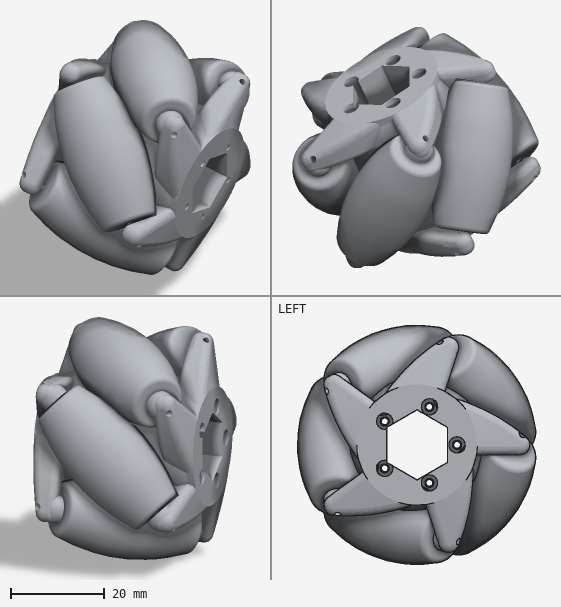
import cadquery as cq
import math

WHEEL_RADIUS = 25.5
HALF_WIDTH = 17.95
ROLLER_COUNT = 5
PITCH = 360.0 / ROLLER_COUNT

ROLLER_TILT = 45.0
AXIS_RADIUS = 16.85
ROLLER_HALF_LENGTH = 15.8
ROLLER_END_FILLET = 1.0
PROFILE_POINTS = 9
WIDEST_TURN = 42.0
PIN_HOLE_RADIUS = 0.7

CLEARANCE = 0.4
END_CLEARANCE = 0.4

FACE_RADIUS = 12.85
RIDGE_RADIUS = 14.3
RIDGE_HALF_WIDTH = 12.25
RIM_HALF_WIDTH = 16.35
HEX_ACROSS_FLATS = 12.9

ARM_ROOT = 6.15
ARM_LOW_SIDE = -2.15
ARM_TIP_RADIUS = 2.2
ARM_TIP_DISTANCE = 21.85
ARM_HIGH_TIP_ANGLE = 50.0
ARM_HIGH_BASE = (7.9, 9.95)
ARM_INNER_X = 11.15
ARM_FACE_SLOPE = 14.0
ARM_OUTER_FILLET = 1.8
ARM_INNER_FILLET = 1.55

BOSS_RADIUS = 3.05
BOSS_LENGTH = 3.3
BOSS_FILLET = 0.75 * BOSS_RADIUS

SCREW_CIRCLE_RADIUS = 8.5
SCREW_HEAD_RADIUS = 1.75
SCREW_CLEARANCE_RADIUS = 0.95
SCREW_THREAD_RADIUS = 0.7
SCREW_HEAD_DEPTH = 14.3


def barrel_point(turn, gap):
    """Axial position and radius of the barrel where it meets the wheel cylinder at an angle."""
    lean = math.sin(math.radians(ROLLER_TILT))
    reach = WHEEL_RADIUS - AXIS_RADIUS / math.cos(turn)
    along = AXIS_RADIUS * math.tan(turn) / lean + reach * math.sin(turn) * lean
    return along, reach * math.sqrt(1 - (math.sin(turn) * lean) ** 2) + gap


def barrel(gap, half_length):
    """Solid barrel about the Z axis, grown by a gap and cut off square at both ends."""
    widest_turn = math.radians(WIDEST_TURN)
    points = []
    for i in range(PROFILE_POINTS):
        along, radius = barrel_point(widest_turn * (2 * i / (PROFILE_POINTS - 1) - 1), gap)
        points.append((radius, along))
    low, high = points[0][1], points[-1][1]
    body = (
        cq.Workplane("XZ").moveTo(0, low).lineTo(*points[0]).spline(points[1:], includeCurrent=True)
        .lineTo(0, high).close().revolve(360, (0, 0), (0, 1))
    )
    return body.intersect(cq.Workplane("XY").circle(WHEEL_RADIUS).extrude(half_length, both=True))


def turned(shape, pitches):
    """Turn a shape about the wheel axis by a number of roller pitches."""
    return shape.rotate((0, 0, 0), (1, 0, 0), pitches * PITCH)


def on_roller_axis(shape, index):
    """Move a shape from the Z axis to a roller axis; its +Z end goes to the -X side."""
    tilted = shape.rotate((0, 0, 0), (0, 1, 0), -ROLLER_TILT).translate((0, -AXIS_RADIUS, 0))
    return turned(tilted, index + 0.5)


def pin_hole():
    return cq.Workplane("XY").circle(PIN_HOLE_RADIUS).extrude(WHEEL_RADIUS, both=True)


def roller():
    body = barrel(0, ROLLER_HALF_LENGTH).faces("<Z or >Z").edges().fillet(ROLLER_END_FILLET)
    return body.cut(pin_hole())


def core():
    """The -X half of the round core, widest between the rollers."""
    outline = [
        (-HALF_WIDTH, 0), (-HALF_WIDTH, FACE_RADIUS), (-RIM_HALF_WIDTH, FACE_RADIUS),
        (-RIDGE_HALF_WIDTH, RIDGE_RADIUS), (0, RIDGE_RADIUS), (0, 0),
    ]
    return cq.Workplane("XY").polyline(outline).close().revolve(360, (0, 0), (1, 0))


def arm_blade():
    """Flat arm on the -X side, pointing toward -Y, before its outer face is sloped."""
    tip_height = ARM_LOW_SIDE + ARM_TIP_RADIUS
    angle = math.radians(ARM_HIGH_TIP_ANGLE)
    high_tip = (
        ARM_TIP_DISTANCE + ARM_TIP_RADIUS * math.cos(angle),
        tip_height + ARM_TIP_RADIUS * math.sin(angle),
    )
    plane = cq.Plane(origin=(-ARM_INNER_X, 0, 0), xDir=(0, -1, 0), normal=(-1, 0, 0))
    return (
        cq.Workplane(plane).moveTo(ARM_ROOT, ARM_LOW_SIDE).lineTo(ARM_TIP_DISTANCE, ARM_LOW_SIDE)
        .tangentArcPoint(high_tip, relative=False)
        .tangentArcPoint(ARM_HIGH_BASE, relative=False).close()
        .extrude(HALF_WIDTH)
    )


def rim_edges(face):
    """Edges of an arm face whose middle lies outside the core's end face."""
    edges = []
    for edge in face.edges().vals():
        middle = edge.positionAt(0.5)
        if math.hypot(middle.y, middle.z) > FACE_RADIUS + 0.5:
            edges.append(edge)
    return edges


def arm():
    """Arm with a conical outer face and rounded edges."""
    slope = math.tan(math.radians(ARM_FACE_SLOPE))
    rim_x = HALF_WIDTH - slope * (WHEEL_RADIUS - FACE_RADIUS)
    outline = [
        (0, 0), (-HALF_WIDTH, 0), (-HALF_WIDTH, FACE_RADIUS), (-rim_x, WHEEL_RADIUS), (0, WHEEL_RADIUS),
    ]
    envelope = cq.Workplane("XY").polyline(outline).close().revolve(360, (0, 0), (1, 0))
    blade = arm_blade().intersect(envelope)
    blade = blade.newObject(rim_edges(blade.faces("%CONE"))).fillet(ARM_OUTER_FILLET)
    return blade.newObject(rim_edges(blade.faces(">X"))).fillet(ARM_INNER_FILLET)


def boss():
    """Domed boss just past the +Z end of a roller on the Z axis."""
    start = ROLLER_HALF_LENGTH + END_CLEARANCE
    return (
        cq.Workplane("XY").workplane(offset=start).circle(BOSS_RADIUS).extrude(BOSS_LENGTH)
        .faces(">Z").edges().fillet(BOSS_FILLET)
    )


def hub_half():
    """The -X half of the hub, without its screw holes."""
    body = core()
    for i in range(ROLLER_COUNT):
        body = body.union(turned(arm(), i)).union(on_roller_axis(boss(), i))
    pocket = barrel(CLEARANCE, ROLLER_HALF_LENGTH + END_CLEARANCE)
    for i in range(ROLLER_COUNT):
        body = body.cut(on_roller_axis(pocket, i)).cut(on_roller_axis(pin_hole(), i))
    hexagon = cq.Workplane("YZ").polygon(6, HEX_ACROSS_FLATS / math.cos(math.pi / 6))
    bore = hexagon.extrude(WHEEL_RADIUS, both=True).rotate((0, 0, 0), (1, 0, 0), 90)
    return body.cut(bore)


def screw_holes(radius, depth):
    """Ring of holes, from the -X face inward."""
    return (
        cq.Workplane("YZ", origin=(-HALF_WIDTH, 0, 0))
        .polarArray(SCREW_CIRCLE_RADIUS, 180, 360, ROLLER_COUNT).circle(radius).extrude(depth)
    )


half = hub_half()
head_half = half.cut(screw_holes(SCREW_HEAD_RADIUS, SCREW_HEAD_DEPTH))
head_half = head_half.cut(screw_holes(SCREW_CLEARANCE_RADIUS, HALF_WIDTH))
thread_half = half.cut(screw_holes(SCREW_THREAD_RADIUS, HALF_WIDTH)).rotate((0, 0, 0), (0, 1, 0), 180)

rollers = [on_roller_axis(roller(), i) for i in range(ROLLER_COUNT)]

result = cq.Compound.makeCompound(
    [head_half.val(), thread_half.val(), *[r.val() for r in rollers]]
)